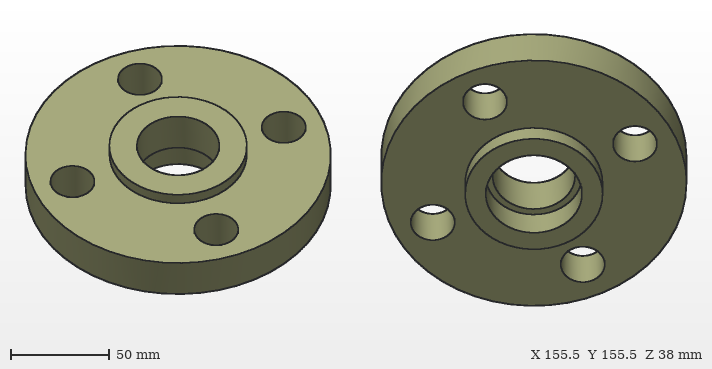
import cadquery as cq

flange_diameter = 155.5
flange_thickness = 22.5
bolt_hole_diameter = 22.4
bolt_spacing = 80.8

boss_diameter = 70.0
raised_face_height = 6.2
hub_height = 9.3

bore_diameter = 42.0
socket_diameter = 49.0
socket_depth = 15.5

total_height = hub_height + flange_thickness + raised_face_height


def cylinder(diameter, height, base_z=0.0):
    """Upright cylinder centred on the Z axis."""
    return cq.Workplane("XY").workplane(offset=base_z).circle(diameter / 2).extrude(height)


disc = cylinder(flange_diameter, flange_thickness, hub_height)
body = disc.union(cylinder(boss_diameter, total_height))

body = body.cut(cylinder(bore_diameter, total_height))
body = body.cut(cylinder(socket_diameter, socket_depth))

bolt_holes = (
    cq.Workplane("XY")
    .rarray(bolt_spacing, bolt_spacing, 2, 2)
    .circle(bolt_hole_diameter / 2)
    .extrude(total_height)
)

result = body.cut(bolt_holes)